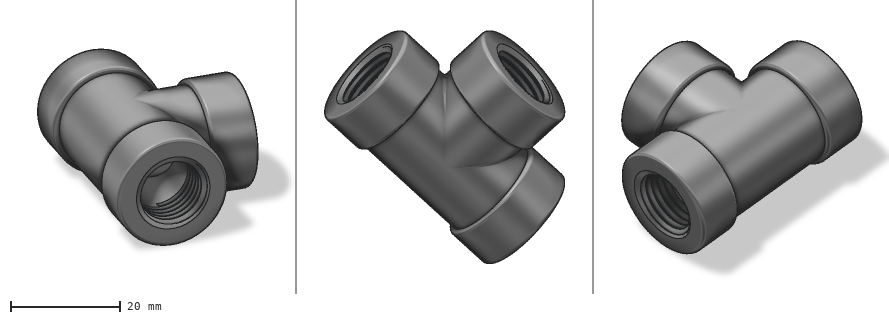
import cadquery as cq

run_length = 41.65
collar_diameter = 21.6
collar_length = 9.05
collar_rounding = 0.75
pipe_diameter = 19.5
crotch_rounding = 0.5

bore_diameter = 11.87
thread_major_diameter = 13.65
thread_pitch = 1.4
thread_turns = 6.5
groove_width = 1.35
groove_root_width = 0.12
groove_overlap = 0.12
mouth_diameter = 14.45
mouth_depth = 0.75

half_run = run_length / 2
pipe_reach = half_run - collar_length
bore_radius = bore_diameter / 2
branch_angle = 90


def port(shape, angle):
    """Turn a shape built along +X about Z so that it lies along one port."""
    return shape.rotate((0, 0, 0), (0, 0, 1), angle)


def cylinder_along_x(start, diameter, length):
    return cq.Workplane("YZ", origin=(start, 0, 0)).circle(diameter / 2).extrude(length)


def pipe_body():
    """Run and branch of equal diameter, with the crotch seams rounded."""
    run = cylinder_along_x(-pipe_reach, pipe_diameter, 2 * pipe_reach)
    branch = port(cylinder_along_x(0, pipe_diameter, pipe_reach), branch_angle)
    body = run.union(branch)
    return body.edges("%ELLIPSE").fillet(crotch_rounding)


def collar():
    ring = cylinder_along_x(half_run - collar_length, collar_diameter, collar_length)
    return ring.edges("%CIRCLE").fillet(collar_rounding)


def mouth_cutter():
    """Cone that opens the bore at the end face."""
    return (
        cq.Workplane("XY")
        .moveTo(half_run, 0)
        .lineTo(half_run, mouth_diameter / 2)
        .lineTo(half_run - mouth_depth, bore_radius)
        .lineTo(half_run - mouth_depth, 0)
        .close()
        .revolve(360, (0, 0, 0), (1, 0, 0))
    )


def thread_cutter():
    """Helical V groove that starts a pitch outside the end face and runs inward."""
    inner_radius = bore_radius - groove_overlap
    major_radius = thread_major_diameter / 2
    helix_length = thread_turns * thread_pitch
    helix = cq.Wire.makeHelix(thread_pitch, helix_length, bore_radius)
    groove = (
        cq.Workplane("XZ")
        .moveTo(inner_radius, -groove_width / 2)
        .lineTo(major_radius, -groove_root_width / 2)
        .lineTo(major_radius, groove_root_width / 2)
        .lineTo(inner_radius, groove_width / 2)
        .close()
        .sweep(cq.Workplane(helix), isFrenet=True)
    )
    along_x = groove.rotate((0, 0, 0), (0, 1, 0), 90)
    return along_x.translate((half_run + thread_pitch - helix_length, 0, 0))


def threaded_collar():
    bore = cylinder_along_x(half_run - collar_length, bore_diameter, collar_length)
    return collar().cut(bore).cut(thread_cutter()).cut(mouth_cutter())


run_bore = cylinder_along_x(-half_run, bore_diameter, run_length)
branch_bore = port(cylinder_along_x(0, bore_diameter, half_run), branch_angle)

result = pipe_body().cut(run_bore).cut(branch_bore)
for angle in (0, branch_angle, 180):
    result = result.union(port(threaded_collar(), angle))